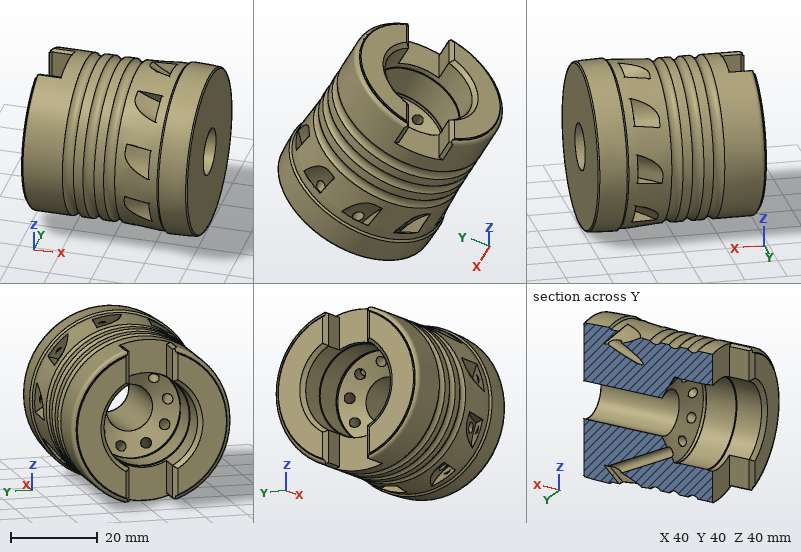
import cadquery as cq
import math


DIAGONAL = math.sqrt(0.5)

length = 40.0
body_radius = 19.0
nose_radius = 18.0
nose_chamfer = 0.2
nose_length = 0.4
nose_rounding = body_radius - nose_radius
taper_start = 23.05
taper_end = 30.7
neck_radius = 19.5
collar_start = 32.8
collar_radius = 20.0
collar_lip = 0.5
crown_mid_radius = 19.9
rear_radius = 19.7
rear_chamfer = 0.3

groove_count = 3
first_groove = 11.4
groove_pitch = 4.9
groove_width = 2.65
groove_depth = 0.7

bore_radius = 11.15
seat_start = 7.6
seat_radius = 11.0
seat_end = 15.4
relief_end = 16.25
through_radius = 5.5
cone_half_angle = 60.0
bore_chamfer = 1.0

slot_depth = 6.2
slot_half_width = 5.15
slot_chamfer = 1.0
slot_edge_drop = 0.7

vent_count = 9
first_vent_angle = -17.0
pocket_floor = 16.45
pocket_slant = 7.0
floor_width = 2.0
floor_rounding = 6.7
cutter_radius = 26.8
cutter_exit_angle = 17.5
end_wall_angle = 45.0
hole_radius = 1.25
hole_tilt = 27.5
hole_offset = -2.1
hole_mouth_x = 32.0
hole_mouth_height = 16.1
hole_overshoot = 1.2


def revolve_about_x(profile):
    return profile.close().revolve(360, (0, 0, 0), (1, 0, 0))


def turned_body():
    rounding_end = nose_length + nose_rounding
    outline = (
        cq.Workplane("XY")
        .lineTo(0, nose_radius - nose_chamfer)
        .lineTo(nose_chamfer, nose_radius)
        .lineTo(nose_length, nose_radius)
        .threePointArc(
            (rounding_end - nose_rounding * DIAGONAL, nose_radius + nose_rounding * DIAGONAL),
            (rounding_end, body_radius),
        )
    )
    for i in range(groove_count):
        centre = first_groove + i * groove_pitch
        outline = outline.lineTo(centre - groove_width / 2, body_radius).threePointArc(
            (centre, body_radius - groove_depth), (centre + groove_width / 2, body_radius)
        )
    outline = (
        outline.lineTo(taper_start, body_radius)
        .lineTo(taper_end, neck_radius)
        .lineTo(collar_start, neck_radius)
        .lineTo(collar_start + collar_lip, collar_radius)
        .threePointArc(
            ((collar_start + collar_lip + length - rear_chamfer) / 2, crown_mid_radius),
            (length - rear_chamfer, rear_radius),
        )
        .lineTo(length, rear_radius - rear_chamfer)
        .lineTo(length, 0)
    )
    return revolve_about_x(outline)


def bore():
    lead_in = bore_radius - seat_radius
    cone_length = (bore_radius - through_radius) / math.tan(math.radians(cone_half_angle))
    outline = (
        cq.Workplane("XY")
        .lineTo(0, bore_radius + bore_chamfer)
        .lineTo(bore_chamfer, bore_radius)
        .lineTo(seat_start - lead_in, bore_radius)
        .lineTo(seat_start, seat_radius)
        .lineTo(seat_end, seat_radius)
        .lineTo(seat_end, bore_radius)
        .lineTo(relief_end, bore_radius)
        .lineTo(relief_end + cone_length, through_radius)
        .lineTo(length, through_radius)
        .lineTo(length, 0)
    )
    return revolve_about_x(outline)


def claw_slot():
    wide = slot_half_width + slot_chamfer
    channel = (
        cq.Workplane("XY")
        .moveTo(0, -wide)
        .lineTo(slot_chamfer, -slot_half_width)
        .lineTo(slot_depth, -slot_half_width)
        .lineTo(slot_depth, slot_half_width)
        .lineTo(slot_chamfer, slot_half_width)
        .lineTo(0, wide)
        .close()
        .extrude(body_radius, both=True)
    )
    wall_top = math.sqrt(body_radius**2 - slot_half_width**2) - slot_edge_drop
    flare_top = math.sqrt(body_radius**2 - wide**2)
    flare = (
        cq.Workplane("YZ")
        .moveTo(-slot_half_width, wall_top)
        .lineTo(-wide, flare_top)
        .lineTo(-wide, body_radius)
        .lineTo(wide, body_radius)
        .lineTo(wide, flare_top)
        .lineTo(slot_half_width, wall_top)
        .close()
        .extrude(slot_depth)
    )
    return channel.union(flare).union(flare.mirror("XY"))


def pocket_limit():
    inner = bore_radius
    outer = collar_radius + collar_lip
    lean = math.tan(math.radians(end_wall_angle))
    outline = (
        cq.Workplane("XY")
        .moveTo(taper_start, inner)
        .lineTo(taper_end + (neck_radius - inner) * lean, inner)
        .lineTo(taper_end, neck_radius)
        .lineTo(taper_end, outer)
        .lineTo(taper_start, outer)
    )
    return revolve_about_x(outline)


def pocket():
    exit_angle = math.radians(cutter_exit_angle)
    axis_x = taper_end + cutter_radius * math.sin(exit_angle)
    axis_z = pocket_floor + cutter_radius * math.cos(exit_angle)
    bottom = axis_z - cutter_radius
    wheel = (
        cq.Workplane("YZ", origin=(axis_x, 0, 0))
        .moveTo(0, axis_z)
        .lineTo(0, bottom)
        .lineTo(-floor_width, bottom)
        .threePointArc(
            (-floor_width - floor_rounding * DIAGONAL, bottom + floor_rounding * (1 - DIAGONAL)),
            (-floor_width - floor_rounding, bottom + floor_rounding),
        )
        .lineTo(-floor_width - floor_rounding, axis_z)
        .close()
        .revolve(360, (0, axis_z, 0), (1, axis_z, 0))
        .rotate((taper_end, 0, 0), (taper_end, 0, 1), -pocket_slant)
    )
    return wheel.intersect(pocket_limit())


def feed_hole():
    tilt = math.radians(hole_tilt)
    inward = cq.Vector(-math.cos(tilt), 0, -math.sin(tilt))
    mouth = cq.Vector(hole_mouth_x, hole_offset, hole_mouth_height)
    start = mouth - inward * hole_overshoot
    depth = hole_overshoot + (hole_mouth_x - seat_end) / math.cos(tilt)
    return cq.Workplane(obj=cq.Solid.makeCylinder(hole_radius, depth, start, inward))


result = turned_body().cut(bore()).cut(claw_slot())
vent = pocket().union(feed_hole())
for i in range(vent_count):
    result = result.cut(vent.rotate((0, 0, 0), (1, 0, 0), first_vent_angle + i * 360 / vent_count))